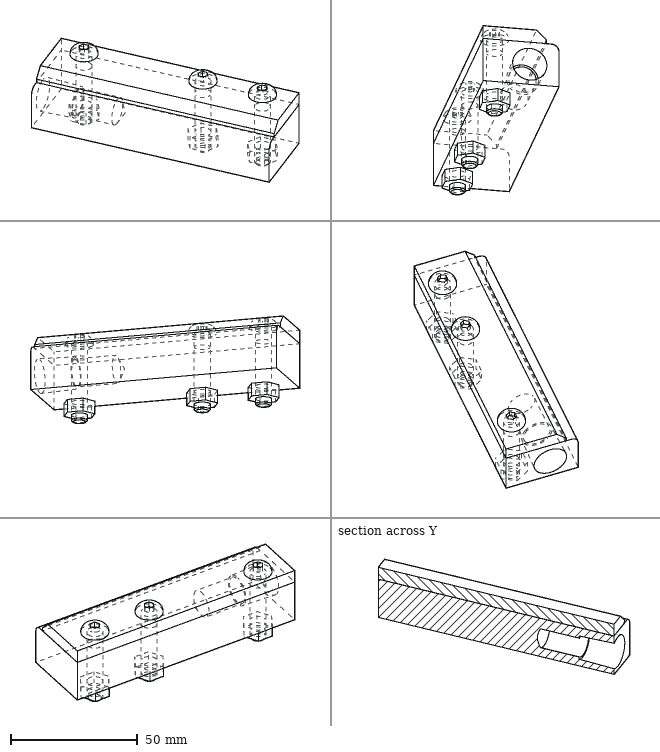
import cadquery as cq
import math

length = 101.6
block_depth = 30.48
block_height = 18.256
block_edge_radius = 3.175
plate_depth = 25.4
plate_thickness = 5.556
plate_chamfer = 3.969
plate_top = block_height + plate_thickness

bore_y = -18.7
bore_z = 8.73
bore_mouth_diameter = 13.716
bore_taper = 1 / 16
bore_depth = 15.0
bore_end_diameter = bore_mouth_diameter - bore_taper * bore_depth
drill_diameter = 11.11
drill_depth = 31.75
drill_point_angle = 118

screw_y = -7.112
screw_positions = [12.7, 63.5, 88.9]
screw_diameter = 6.35
screw_length = 31.75
screw_tip_chamfer = 0.6
head_diameter = 11.1
head_height = 3.35
head_rim_height = 0.6
head_top_diameter = 4.76
head_dome_bulge = 0.8
socket_flats = 3.57
socket_depth = 2.2
nut_flats = 11.11
nut_height = 5.2


def corner_diameter(flats):
    """Diameter across the corners of a hexagon with this size across its flats."""
    return flats / math.cos(math.pi / 6)


def drill_fastener_holes(body, height):
    """Cut the screw holes up to this height above the underside of the block."""
    holes = (
        cq.Workplane("XY")
        .pushPoints([(x, screw_y) for x in screw_positions])
        .circle(screw_diameter / 2)
        .extrude(height)
    )
    return body.cut(holes)


def make_bore():
    """Tapered bore running into a smaller blind drilling with a conical point."""
    mouth_radius = bore_mouth_diameter / 2
    end_radius = bore_end_diameter / 2
    drill_radius = drill_diameter / 2
    point_length = drill_radius / math.tan(math.radians(drill_point_angle / 2))
    return (
        cq.Workplane("XY")
        .lineTo(0, mouth_radius)
        .lineTo(bore_depth, end_radius)
        .lineTo(bore_depth, drill_radius)
        .lineTo(drill_depth, drill_radius)
        .lineTo(drill_depth + point_length, 0)
        .close()
        .revolve(360, (0, 0, 0), (1, 0, 0))
        .translate((0, bore_y, bore_z))
    )


def make_block():
    block = (
        cq.Workplane("XY")
        .box(length, block_depth, block_height, centered=False)
        .translate((0, -block_depth, 0))
        .edges("|X and >Z and <Y")
        .fillet(block_edge_radius)
    )
    return drill_fastener_holes(block, plate_top).cut(make_bore())


def make_plate():
    plate = (
        cq.Workplane("XY")
        .box(length, plate_depth, plate_thickness, centered=False)
        .translate((0, -plate_depth, block_height))
        .edges("|X and >Z and <Y")
        .chamfer(plate_chamfer)
    )
    return drill_fastener_holes(plate, plate_top)


def make_screw(x):
    """Button head socket screw, its head resting on the plate."""
    shank_radius = screw_diameter / 2
    head_radius = head_diameter / 2
    head_top_radius = head_top_diameter / 2
    screw = (
        cq.Workplane("XZ")
        .moveTo(0, -screw_length)
        .lineTo(shank_radius - screw_tip_chamfer, -screw_length)
        .lineTo(shank_radius, -screw_length + screw_tip_chamfer)
        .lineTo(shank_radius, 0)
        .lineTo(head_radius, 0)
        .lineTo(head_radius, head_rim_height)
        .sagittaArc((head_top_radius, head_height), -head_dome_bulge)
        .lineTo(0, head_height)
        .close()
        .revolve(360, (0, 0, 0), (0, 1, 0))
    )
    socket = (
        cq.Workplane("XY")
        .workplane(offset=head_height - socket_depth)
        .polygon(6, corner_diameter(socket_flats))
        .extrude(socket_depth)
    )
    return screw.cut(socket).translate((x, screw_y, plate_top))


def make_nut(x):
    """Hexagon nut under the block, with two corners along X."""
    return (
        cq.Workplane("XY")
        .polygon(6, corner_diameter(nut_flats))
        .circle(screw_diameter / 2)
        .extrude(-nut_height)
        .translate((x, screw_y, 0))
    )


block = make_block()
plate = make_plate()
screws = [make_screw(x) for x in screw_positions]
nuts = [make_nut(x) for x in screw_positions]

result = cq.Compound.makeCompound(
    [block.val(), plate.val()]
    + [screw.val() for screw in screws]
    + [nut.val() for nut in nuts]
)